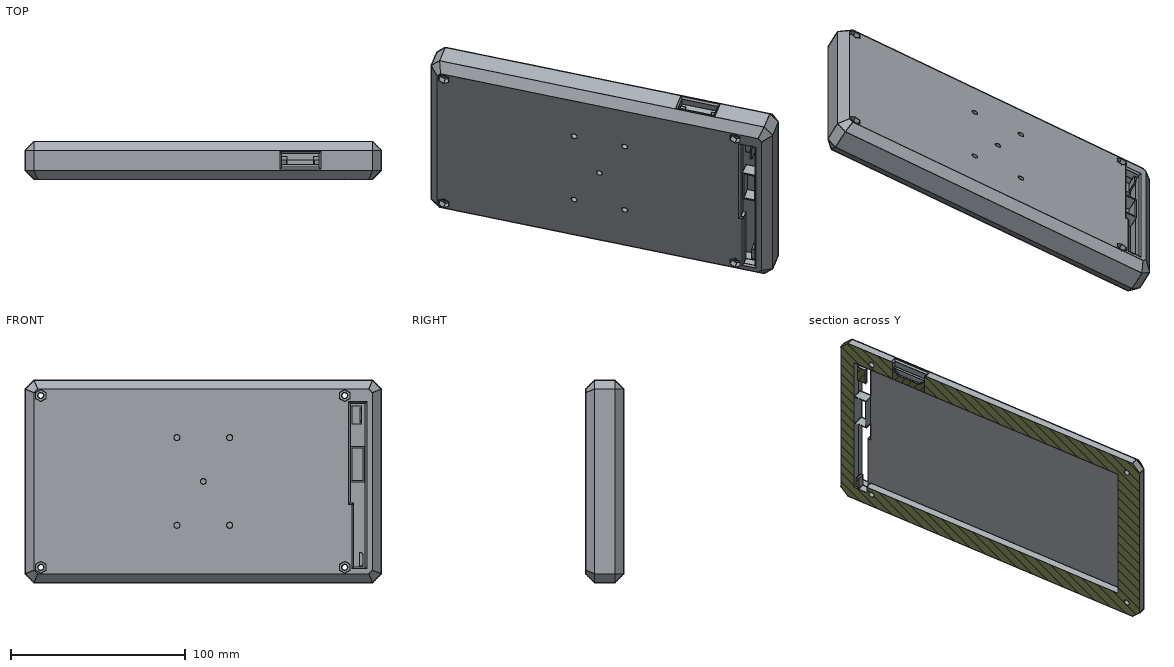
import cadquery as cq
import math

LENGTH = 204.0
THICKNESS = 21.8
HEIGHT = 116.0
BEVEL = 5.0
FRONT_Y = -THICKNESS / 2
BACK_Y = THICKNESS / 2
SEAM_Y = FRONT_Y + BEVEL
TOP_Z = HEIGHT / 2
OPENING_BEVEL = 1.0

SCREW_XS = (-93.0, 81.0)
SCREW_Z = 49.2
SCREW_DIAMETER = 3.3
NUT_SIDES = 6
NUT_FLATS = 6.0
NUT_DEPTH = 3.7

MOUNT_X = 15.0
MOUNT_Z = 25.0
MOUNT_DIAMETER = 3.5
CENTER_DIAMETER = 3.3
MOUNT_DEPTH = 4.0

SLOT_LEFT = 83.2
SLOT_LOWER_LEFT = 85.0
SLOT_RIGHT = 93.6
SLOT_TOP = 45.7
SLOT_BOTTOM = -50.0
SLOT_STEP_Z = -13.3

CAVITY_LEFT = -86.7
CAVITY_RIGHT = SLOT_RIGHT - OPENING_BEVEL
CAVITY_HALF_HEIGHT = 44.9
CAVITY_BACK_Y = BACK_Y - BEVEL
BAY_LEFT = 84.3
BAY_BOTTOM = SLOT_BOTTOM + OPENING_BEVEL

WINDOW_LEFT = 43.9
WINDOW_RIGHT = 67.3
WINDOW_FRONT_Y = -4.9
WINDOW_BACK_Y = 5.0
WINDOW_DEPTH = 4.9

MODULE_SETBACK = 10.6
MODULE_FRONT_Y = FRONT_Y + MODULE_SETBACK
SOCKET_WALL = 0.8
LOW_BLOCK_X = (85.0, 90.5)
LOW_BLOCK_Z = (32.8, 43.2)
LOW_BLOCK_SETBACK = 7.8
UPRIGHT_X = (89.8, 90.5)
UPRIGHT_Z = (33.9, 42.0)
UPRIGHT_SETBACK = 0.8
UPRIGHT_BEVEL = 1.0
WIDE_SOCKET_X = (84.5, 92.5)
WIDE_SOCKET_Z = (-0.5, 20.0)
WIDE_SOCKET_SETBACK = 3.5
SMALL_PLUG_X = (89.4, 91.5)
SMALL_PLUG_Z = (-48.5, -40.8)
SMALL_PLUG_BEVEL = 1.0
SMALL_PLUG_SETBACK = 5.3

GROOVE_FRONT_Y = -2.5
GROOVE_BACK_Y = 0.2
GROOVE_DEPTH = 2.7
GROOVE_END_LEDGE = 0.5
GROOVE_FLOOR_DROP = 0.8
TAB_BACK_Y = 2.2
TAB_LENGTH = 3.0
TAB_RISE = 0.2


def block(x_range, y_range, z_range):
    """Box between two limits on each axis."""
    limits = (x_range, y_range, z_range)
    sizes = [high - low for low, high in limits]
    return cq.Workplane("XY").box(*sizes, centered=False).translate([low for low, _ in limits])


def rods(points, diameter, start_y, length):
    """Cylinders along +Y that start at start_y."""
    plane = cq.Workplane("XZ", origin=(0, start_y, 0))
    return plane.pushPoints(points).circle(diameter / 2).extrude(-length)


def beveled_opening(plane, points, depth):
    """Cutter with a 45 degree lead-in, running against the plane's normal."""
    lead_in = plane.polyline(points).close().extrude(-OPENING_BEVEL, taper=45)
    passage = plane.polyline(points).close().offset2D(-OPENING_BEVEL, "intersection").extrude(-depth)
    return lead_in.union(passage)


SCREW_POINTS = [(x, z) for x in SCREW_XS for z in (-SCREW_Z, SCREW_Z)]
MOUNT_POINTS = [(x, z) for x in (-MOUNT_X, MOUNT_X) for z in (-MOUNT_Z, MOUNT_Z)]


def cut_corner_outline():
    """Outline of the case seen face on: a rectangle with its corners cut."""
    side_x = LENGTH / 2
    corner_x = side_x - BEVEL
    corner_z = TOP_Z - BEVEL
    right_half = [(corner_x, -TOP_Z), (side_x, -corner_z), (side_x, corner_z), (corner_x, TOP_Z)]
    left_half = [(-x, -z) for x, z in right_half]
    return right_half + left_half


def nut_recesses():
    """Hexagonal recesses around the screw holes, one corner pointing up."""
    across_corners = NUT_FLATS / math.cos(math.pi / NUT_SIDES)
    plane = cq.Workplane(cq.Plane(origin=(0, FRONT_Y, 0), xDir=(0, 0, 1), normal=(0, 1, 0)))
    points = [(z, x) for x, z in SCREW_POINTS]
    return plane.pushPoints(points).polygon(NUT_SIDES, across_corners).extrude(NUT_DEPTH)


def make_cover():
    """Front plate with screw holes, nut recesses, mounting holes and the port slot."""
    seam_plane = cq.Workplane("XZ", origin=(0, SEAM_Y, 0))
    cover = seam_plane.polyline(cut_corner_outline()).close().extrude(BEVEL, taper=45)
    cover = cover.cut(rods(SCREW_POINTS, SCREW_DIAMETER, FRONT_Y, BEVEL))
    cover = cover.cut(nut_recesses())
    cover = cover.cut(rods(MOUNT_POINTS, MOUNT_DIAMETER, FRONT_Y, MOUNT_DEPTH))
    cover = cover.cut(rods([(0, 0)], CENTER_DIAMETER, FRONT_Y, MOUNT_DEPTH))
    slot_points = [
        (SLOT_LEFT, SLOT_TOP),
        (SLOT_RIGHT, SLOT_TOP),
        (SLOT_RIGHT, SLOT_BOTTOM),
        (SLOT_LOWER_LEFT, SLOT_BOTTOM),
        (SLOT_LOWER_LEFT, SLOT_STEP_Z),
        (SLOT_LEFT, SLOT_STEP_Z),
    ]
    front_plane = cq.Workplane("XZ", origin=(0, FRONT_Y, 0))
    return cover.cut(beveled_opening(front_plane, slot_points, BEVEL))


def cavity():
    """Space inside the frame, reaching from the seam to its back wall."""
    depth = (SEAM_Y, CAVITY_BACK_Y)
    main = block((CAVITY_LEFT, CAVITY_RIGHT), depth, (-CAVITY_HALF_HEIGHT, CAVITY_HALF_HEIGHT))
    bay = block((BAY_LEFT, CAVITY_RIGHT), depth, (BAY_BOTTOM, CAVITY_HALF_HEIGHT))
    return main.union(bay)


def make_frame():
    """Rear tub that holds the module, with the window in its top wall."""
    frame = block((-LENGTH / 2, LENGTH / 2), (SEAM_Y, BACK_Y), (-TOP_Z, TOP_Z))
    frame = frame.edges("|Y or >Y").chamfer(BEVEL)
    frame = frame.cut(cavity())
    frame = frame.cut(rods(SCREW_POINTS, SCREW_DIAMETER, SEAM_Y, BACK_Y - SEAM_Y))
    window_points = [
        (WINDOW_LEFT, WINDOW_FRONT_Y),
        (WINDOW_RIGHT, WINDOW_FRONT_Y),
        (WINDOW_RIGHT, WINDOW_BACK_Y),
        (WINDOW_LEFT, WINDOW_BACK_Y),
    ]
    top_plane = cq.Workplane("XY", origin=(0, 0, TOP_Z))
    return frame.cut(beveled_opening(top_plane, window_points, TOP_Z - CAVITY_HALF_HEIGHT))


def standing_block(x_range, z_range, setback):
    """Block standing on the front of the module."""
    return block(x_range, (FRONT_Y + setback, MODULE_FRONT_Y), z_range)


def low_connector():
    """Low block with a thin upright plate along its outer side."""
    body = standing_block(LOW_BLOCK_X, LOW_BLOCK_Z, LOW_BLOCK_SETBACK)
    plate = standing_block(UPRIGHT_X, UPRIGHT_Z, UPRIGHT_SETBACK)
    plate = plate.faces("<Y").edges("|X").chamfer(UPRIGHT_BEVEL)
    return body.union(plate)


def wide_socket():
    """Open-fronted rectangular shell."""
    shell = standing_block(WIDE_SOCKET_X, WIDE_SOCKET_Z, WIDE_SOCKET_SETBACK)
    inner_x = (WIDE_SOCKET_X[0] + SOCKET_WALL, WIDE_SOCKET_X[1] - SOCKET_WALL)
    inner_z = (WIDE_SOCKET_Z[0] + SOCKET_WALL, WIDE_SOCKET_Z[1] - SOCKET_WALL)
    return shell.cut(standing_block(inner_x, inner_z, WIDE_SOCKET_SETBACK))


def small_plug():
    """Solid plug near the bottom of the slot, beveled along its outer side."""
    plug = standing_block(SMALL_PLUG_X, SMALL_PLUG_Z, SMALL_PLUG_SETBACK)
    return plug.edges("|Y and >X").chamfer(SMALL_PLUG_BEVEL)


def top_connector():
    """Block filling the window passage, with a groove and two end tabs on top."""
    left = WINDOW_LEFT + OPENING_BEVEL
    right = WINDOW_RIGHT - OPENING_BEVEL
    front_y = WINDOW_FRONT_Y + OPENING_BEVEL
    back_y = WINDOW_BACK_Y - OPENING_BEVEL
    surface_z = TOP_Z - WINDOW_DEPTH
    ledge_z = surface_z - GROOVE_DEPTH
    floor_z = ledge_z - GROOVE_FLOOR_DROP
    connector = block((left, right), (front_y, back_y), (CAVITY_HALF_HEIGHT, surface_z))

    slope_left = left + GROOVE_DEPTH
    slope_right = right - GROOVE_DEPTH
    floor_left = slope_left + GROOVE_END_LEDGE
    floor_right = slope_right - GROOVE_END_LEDGE
    profile = [
        (left, surface_z),
        (slope_left, ledge_z),
        (floor_left, ledge_z),
        (floor_left, floor_z),
        (floor_right, floor_z),
        (floor_right, ledge_z),
        (slope_right, ledge_z),
        (right, surface_z),
    ]
    groove_plane = cq.Workplane("XZ", origin=(0, GROOVE_BACK_Y, 0))
    groove = groove_plane.polyline(profile).close().extrude(GROOVE_BACK_Y - GROOVE_FRONT_Y)
    connector = connector.cut(groove)

    for tab_x in ((left, left + TAB_LENGTH), (right - TAB_LENGTH, right)):
        tab = block(tab_x, (GROOVE_BACK_Y, TAB_BACK_Y), (surface_z, surface_z + TAB_RISE))
        connector = connector.union(tab)
    return connector


def make_module():
    """Electronics slab filling the back of the cavity, with its connectors."""
    slab_space = block((-LENGTH / 2, LENGTH / 2), (MODULE_FRONT_Y, CAVITY_BACK_Y), (-TOP_Z, TOP_Z))
    module = cavity().intersect(slab_space)
    module = module.union(low_connector())
    module = module.union(wide_socket())
    module = module.union(small_plug())
    return module.union(top_connector())


cover = make_cover()
frame = make_frame()
module = make_module()

result = cq.Compound.makeCompound([cover.val(), frame.val(), module.val()])